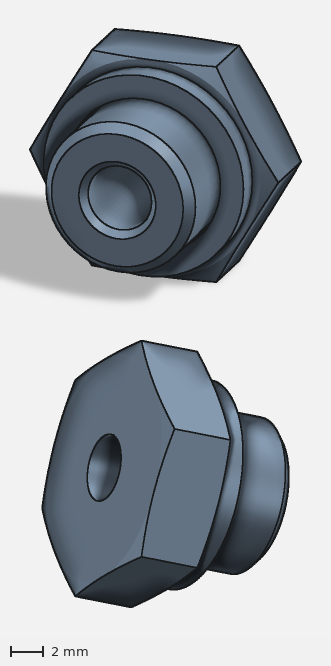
import cadquery as cq
import math


across_flats = 14.0
across_corners = across_flats / math.cos(math.pi / 6)
head_length = 4.5
head_chamfer_angle = math.radians(15)
head_chamfer_drop = (across_corners - across_flats) / 2 * math.tan(head_chamfer_angle)

spigot_diameter = 9.73
spigot_length = 6.0
spigot_chamfer = 0.58

bore_diameter = 4.13
bore_mouth_diameter = 5.0
bore_chamfer = (bore_mouth_diameter - bore_diameter) / 2

ring_outer_diameter = 13.0
ring_inner_diameter = 10.0
ring_thickness = 1.5


def revolve_about_y(profile):
    """Solid of revolution from (radius, y) points turned around the Y axis."""
    return cq.Workplane("XY").polyline(profile).close().revolve(360, (0, 0, 0), (0, 1, 0))


def make_head():
    """Hexagon with corners on the X axis and both end faces chamfered to a circle."""
    hexagon = cq.Workplane("XZ").polygon(6, across_corners).extrude(-head_length)
    face_radius = across_flats / 2
    corner_radius = across_corners / 2
    chamfer_envelope = revolve_about_y([
        (0, 0),
        (face_radius, 0),
        (corner_radius, head_chamfer_drop),
        (corner_radius, head_length - head_chamfer_drop),
        (face_radius, head_length),
        (0, head_length),
    ])
    return hexagon.intersect(chamfer_envelope)


def make_spigot():
    """Round spigot in front of the head, chamfered at its free end."""
    return (
        cq.Workplane("XZ")
        .circle(spigot_diameter / 2)
        .extrude(spigot_length)
        .faces("<Y")
        .chamfer(spigot_chamfer)
    )


def make_bore():
    """Through bore with a chamfered mouth at the spigot end."""
    bore_radius = bore_diameter / 2
    return revolve_about_y([
        (0, -spigot_length),
        (bore_mouth_diameter / 2, -spigot_length),
        (bore_radius, -spigot_length + bore_chamfer),
        (bore_radius, head_length),
        (0, head_length),
    ])


def make_plug():
    """Hexagon head and spigot as one body, bored through."""
    return make_head().union(make_spigot()).cut(make_bore())


def make_sealing_ring():
    """Flat ring lying against the head, with a small clearance around the spigot."""
    return (
        cq.Workplane("XZ")
        .circle(ring_outer_diameter / 2)
        .circle(ring_inner_diameter / 2)
        .extrude(ring_thickness)
    )


plug = make_plug()
sealing_ring = make_sealing_ring()

result = cq.Compound.makeCompound([plug.val(), sealing_ring.val()])